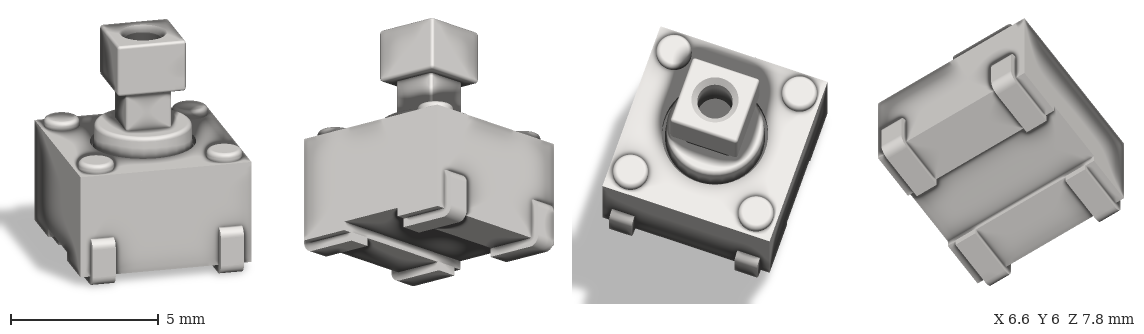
import cadquery as cq

body_width = 6.0
overall_width = 6.6
base_height = 3.3
notch_width = 2.4
total_height = 7.8

lead_width = 0.81
lead_pitch = 4.5
lead_top = 1.65
lead_inner_x = 1.16
lead_bottom_radius = 0.35

stud_diameter = 1.2
stud_fillet = 0.15

cover_hole_diameter = 3.6
collar_foot_diameter = 3.4
collar_height = 1.0
collar_draft = 3.0
collar_fillet = 0.15

stem_width = 1.6
cap_width = 2.4
cap_height = 1.8
edge_fillet = 0.1

bore_diameter = 1.2
bore_mouth_diameter = 1.6
bore_mouth_depth = 0.2

half_width = body_width / 2
half_pitch = lead_pitch / 2
lead_thickness = (overall_width - body_width) / 2
notch_height = lead_thickness
cover_thickness = lead_thickness
stud_height = lead_thickness
base_bottom = lead_thickness
base_top = base_bottom + base_height
collar_top = base_top + collar_height
cover_top = base_top + cover_thickness
lead_top_radius = lead_thickness
lead_outer_x = overall_width / 2
cap_bottom = total_height - cap_height
bore_depth = cap_height


def block(width, bottom, top):
    """Square block centred on the Z axis."""
    return cq.Workplane("XY").workplane(offset=bottom).rect(width, width).extrude(top - bottom)


def disc(diameter, bottom, top):
    """Cylinder on the Z axis."""
    return cq.Workplane("XY").workplane(offset=bottom).circle(diameter / 2).extrude(top - bottom)


def make_lead(y_centre):
    """L-shaped lead at +X: an upright on the side wall and a foot under the base."""
    return (
        cq.Workplane("XZ", origin=(0, y_centre, 0))
        .moveTo(lead_inner_x, 0)
        .lineTo(lead_outer_x - lead_bottom_radius, 0)
        .tangentArcPoint((lead_bottom_radius, lead_bottom_radius))
        .lineTo(lead_outer_x, lead_top - lead_top_radius)
        .tangentArcPoint((-lead_top_radius, lead_top_radius))
        .lineTo(half_width, base_bottom)
        .lineTo(lead_inner_x, base_bottom)
        .close()
        .extrude(lead_width / 2, both=True)
    )


def make_base():
    """Square base with a notch along Y in its underside and four leads."""
    base = block(body_width, base_bottom, base_top)
    notch = cq.Workplane("XY", origin=(0, 0, base_bottom)).rect(notch_width, body_width).extrude(notch_height)
    base = base.cut(notch)
    for y_centre in (-half_pitch, half_pitch):
        lead = make_lead(y_centre)
        base = base.union(lead).union(lead.mirror("YZ"))
    return base


def make_cover():
    """Square cover plate with a round centre hole and four rounded studs."""
    cover = block(body_width, base_top, cover_top)
    cover = cover.cut(disc(cover_hole_diameter, base_top, cover_top))
    stud = disc(stud_diameter, cover_top, cover_top + stud_height).faces(">Z").edges().fillet(stud_fillet)
    for x_side in (-1, 1):
        for y_side in (-1, 1):
            cover = cover.union(stud.translate((x_side * half_pitch, y_side * half_pitch, 0)))
    return cover


def make_plunger():
    """Tapered round collar, square stem and square cap with a countersunk blind bore."""
    collar = (
        cq.Workplane("XY", origin=(0, 0, base_top))
        .circle(collar_foot_diameter / 2)
        .extrude(collar_height, taper=collar_draft)
    )
    collar = collar.faces(">Z").edges().fillet(collar_fillet)
    stem = block(stem_width, collar_top, cap_bottom).edges("|Z").fillet(edge_fillet)
    cap = block(cap_width, cap_bottom, total_height).edges().fillet(edge_fillet)
    bore = disc(bore_diameter, total_height - bore_depth, total_height)
    mouth = (
        cq.Workplane("XY", origin=(0, 0, total_height - bore_mouth_depth))
        .circle(bore_diameter / 2)
        .workplane(offset=bore_mouth_depth)
        .circle(bore_mouth_diameter / 2)
        .loft()
    )
    return collar.union(stem).union(cap).cut(bore).cut(mouth)


base = make_base()
cover = make_cover()
plunger = make_plunger()

result = cq.Compound.makeCompound([base.val(), cover.val(), plunger.val()])